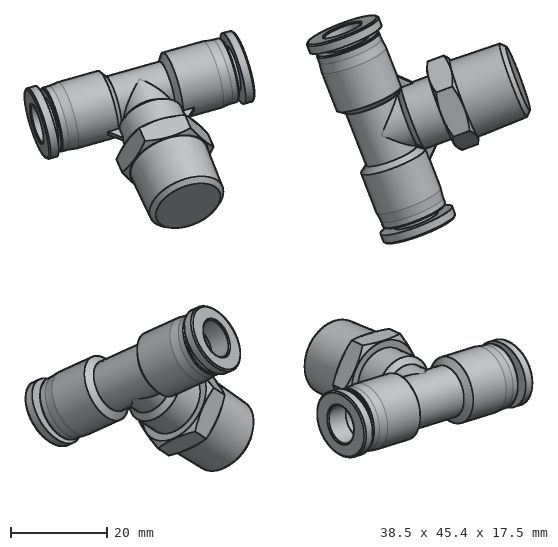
import cadquery as cq
import math


overall_length_x = 38.5

waist_radius = 11.2 / 2
waist_end = 5.95
socket_radius = 14.4 / 2
socket_start = 7.15
taper_start = 16.0
taper_end = 18.02
rim_radius = 13.9 / 2
rim_end = 19.6
rim_chamfer = 0.25
branch_radius = 14.0 / 2
branch_end = 13.45

web_thickness = 1.0
web_reach = 16.7

collar_end = 22.7
flange_thickness = 2.1
flange_width = 16.03
flange_height = 14.1
flange_chamfer = 0.3
neck_radius = 9.7 / 2
bore_radius = 8.2 / 2
bore_chamfer = 0.25
collar_start = 17.95
socket_floor = 15.0

hex_across_flats = 17.5
hex_across_corners = hex_across_flats / math.cos(math.pi / 6)
hex_length = 5.1
hex_face_radius = 8.63
hex_chamfer_angle = 27
hex_end = branch_end + hex_length
stud_end = overall_length_x - flange_width / 2
thread_start_radius = 8.5
thread_end_radius = 8.15
thread_chamfer = 1.05


def revolve_about_y(profile):
    """Revolve a closed (radius, y) outline about the Y axis."""
    return cq.Workplane("XY").polyline(profile).close().revolve(360, (0, 0), (0, 1))


def revolve_about_x(profile):
    """Revolve a closed (x, radius) outline about the X axis."""
    return cq.Workplane("XY").polyline(profile).close().revolve(360, (0, 0), (1, 0))


def make_run():
    """Half of the waist with one socket, mirrored to the other side."""
    half_run = revolve_about_y([
        (0, 0),
        (waist_radius, 0),
        (waist_radius, waist_end),
        (socket_radius, socket_start),
        (socket_radius, taper_start),
        (rim_radius, taper_end),
        (rim_radius, rim_end - rim_chamfer),
        (rim_radius - rim_chamfer, rim_end),
        (0, rim_end),
    ])
    return half_run.union(half_run.mirror("XZ"))


def make_branch():
    return revolve_about_x([
        (0, 0),
        (0, waist_radius),
        (waist_end, waist_radius),
        (socket_start, branch_radius),
        (branch_end, branch_radius),
        (branch_end, 0),
    ])


def make_web():
    """Triangular plate whose sloping edges show in both inner corners."""
    outline = [(0, -web_reach), (web_reach, 0), (0, web_reach)]
    plate = cq.Workplane("XY").polyline(outline).close().extrude(web_thickness / 2, both=True)
    limit = cq.Workplane("XY").box(branch_end, 2 * taper_start, web_thickness, centered=(False, True, True))
    return plate.intersect(limit)


def make_tee():
    """Run, branch and web, with a blind stepped hole in each socket."""
    tee = make_run().union(make_branch()).union(make_web())
    hole = revolve_about_y([
        (0, socket_floor),
        (bore_radius, socket_floor),
        (bore_radius, collar_start),
        (neck_radius, collar_start),
        (neck_radius, rim_end),
        (0, rim_end),
    ])
    return tee.cut(hole).cut(hole.mirror("XZ"))


def make_collar(side):
    """Release collar with an oval flange, on the +Y (side 1) or -Y (side -1) socket."""
    flange_start = collar_end - flange_thickness
    flange = (
        cq.Workplane("XZ", origin=(0, flange_start, 0))
        .ellipse(flange_width / 2, flange_height / 2)
        .extrude(-flange_thickness)
        .faces(">Y")
        .chamfer(flange_chamfer)
    )
    neck = revolve_about_y([
        (0, collar_start),
        (neck_radius, collar_start),
        (neck_radius, flange_start),
        (0, flange_start),
    ])
    bore = revolve_about_y([
        (0, collar_start),
        (bore_radius, collar_start),
        (bore_radius, collar_end - bore_chamfer),
        (bore_radius + bore_chamfer, collar_end),
        (0, collar_end),
    ])
    collar = flange.union(neck).cut(bore)
    return collar if side > 0 else collar.mirror("XZ")


def make_hexagon():
    """Hexagon with flats facing +Z and -Z and its corners chamfered at both ends."""
    prism = (
        cq.Workplane("YZ", origin=(branch_end, 0, 0))
        .polygon(6, hex_across_corners)
        .extrude(hex_length)
    )
    corner_radius = hex_across_corners / 2
    chamfer_length = (corner_radius - hex_face_radius) * math.tan(math.radians(hex_chamfer_angle))
    envelope = revolve_about_x([
        (branch_end, 0),
        (branch_end, hex_face_radius),
        (branch_end + chamfer_length, corner_radius),
        (hex_end - chamfer_length, corner_radius),
        (hex_end, hex_face_radius),
        (hex_end, 0),
    ])
    return prism.intersect(envelope)


def make_stud():
    thread = revolve_about_x([
        (hex_end, 0),
        (hex_end, thread_start_radius),
        (stud_end - thread_chamfer, thread_end_radius),
        (stud_end, thread_end_radius - thread_chamfer),
        (stud_end, 0),
    ])
    return make_hexagon().union(thread)


tee = make_tee()
collars = [make_collar(side) for side in (1, -1)]
stud = make_stud()

result = cq.Compound.makeCompound([tee.val(), *[collar.val() for collar in collars], stud.val()])